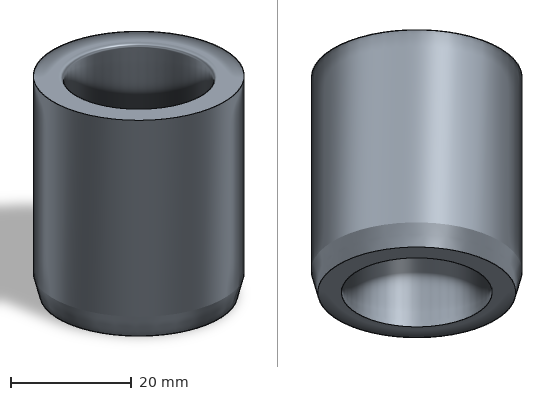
import cadquery as cq
import math

length = 40.0
outer_diameter = 35.0
bore_diameter = 25.0

taper_length = 4.0
taper_angle = 15.0

mouth_radius = 0.8

outer_radius = outer_diameter / 2
bottom_radius = outer_radius - taper_length * math.tan(math.radians(taper_angle))

body = (
    cq.Workplane("XZ")
    .polyline([
        (0, 0),
        (bottom_radius, 0),
        (outer_radius, taper_length),
        (outer_radius, length),
        (0, length),
    ])
    .close()
    .revolve(360, (0, 0), (0, 1))
)

bushing = body.faces(">Z").workplane().hole(bore_diameter)

result = bushing.faces(">Z").edges(cq.selectors.RadiusNthSelector(0)).fillet(mouth_radius)